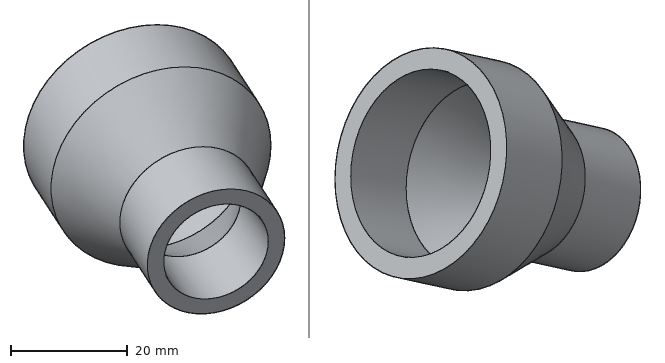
import cadquery as cq

length = 42.0
section_length = length / 3
wide_outer_diameter = 40.0
wide_bore_diameter = 32.6
narrow_outer_diameter = 25.0
narrow_bore_diameter = 19.0

cone_start = section_length
cone_end = 2 * section_length


def reducer_solid(wide_diameter, narrow_diameter):
    """Solid of revolution about X: cylinder, cone, smaller cylinder."""
    wide_radius = wide_diameter / 2
    narrow_radius = narrow_diameter / 2
    return (
        cq.Workplane("XY")
        .moveTo(0, 0)
        .lineTo(0, wide_radius)
        .lineTo(cone_start, wide_radius)
        .lineTo(cone_end, narrow_radius)
        .lineTo(length, narrow_radius)
        .lineTo(length, 0)
        .close()
        .revolve(360, (0, 0, 0), (1, 0, 0))
    )


body = reducer_solid(wide_outer_diameter, narrow_outer_diameter)
bore = reducer_solid(wide_bore_diameter, narrow_bore_diameter)
result = body.cut(bore)